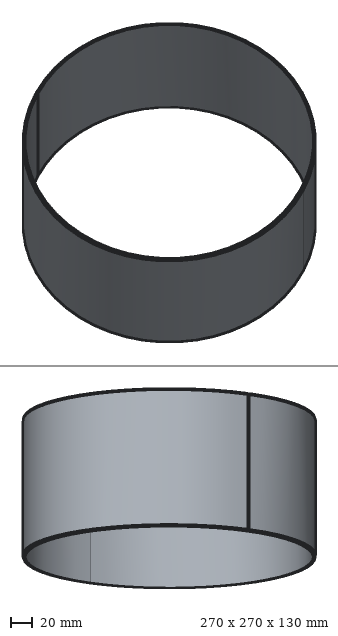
import cadquery as cq

outer_diameter = 270.0
height = 130.0
wall = 2.5
bevel_height = 1.5
bevel_depth = 0.5
slit_width = 2.0

outer_radius = outer_diameter / 2
inner_radius = outer_radius - wall
rim_radius = outer_radius - bevel_depth
half_height = height / 2
bevel_start = half_height - bevel_height


def make_band():
    """Thin ring with bevelled outer rims, revolved about Z."""
    return (
        cq.Workplane("XZ")
        .moveTo(inner_radius, -half_height)
        .lineTo(rim_radius, -half_height)
        .lineTo(outer_radius, -bevel_start)
        .lineTo(outer_radius, bevel_start)
        .lineTo(rim_radius, half_height)
        .lineTo(inner_radius, half_height)
        .close()
        .revolve(360, (0, 0, 0), (0, 1, 0))
    )


def make_slit():
    """Full-height cut through the -X wall, with one face on the XZ plane."""
    cut_length = 2 * wall
    return (
        cq.Workplane("XY")
        .box(cut_length, slit_width, height, centered=(True, False, True))
        .translate((-outer_radius, 0, 0))
    )


result = make_band().cut(make_slit())